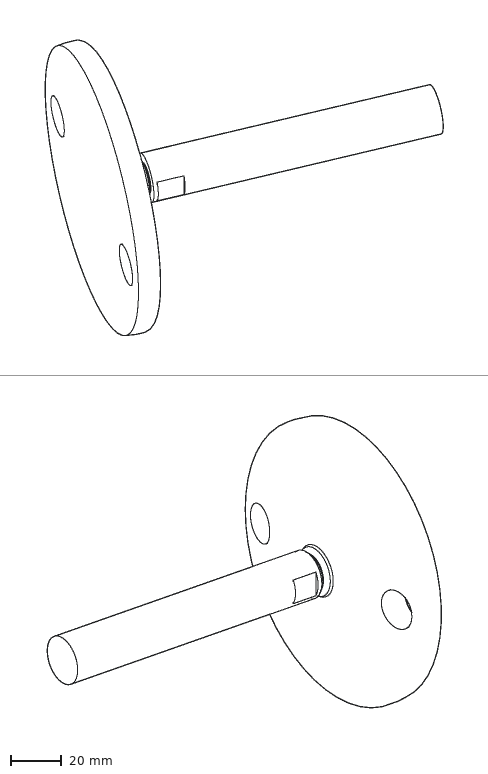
import cadquery as cq
import math

TOTAL_LENGTH = 142.0

FOOT_RADIUS = 117.98 / 2
SOLE_RADIUS = 58.5
DRAFT_HEIGHT = 4.0
RIM_TOP = 7.1
RIM_ROUNDING = 2.65
CONE_ANGLE = math.radians(9.5)

COLLAR_BASE_RADIUS = 10.8
COLLAR_SHOULDER_RADIUS = 10.2
COLLAR_SHOULDER_HEIGHT = 18.4
COLLAR_TOP_RADIUS = 8.0
COLLAR_TOP = 20.1

HOLE_DIAMETER = 16.5
HOLE_OFFSET = 42.8
HOLE_CUT_LENGTH = 60.0

SPINDLE_RADIUS = 20.0 / 2
SPINDLE_BOTTOM = 22.4
NECK_RADIUS = 6.2
NECK_BOTTOM = 22.0
LIP_RADIUS = 8.9
LIP_HEIGHT = 21.1

ACROSS_FLATS = 17.0
FLATS_BOTTOM = 24.2
FLATS_LENGTH = 11.1


def revolve_about_y(outline):
    return outline.close().revolve(360, (0, 0, 0), (0, 1, 0))


def make_foot_blank():
    """Drafted rim, rounded edge, conical top and collar."""
    arc_center_radius = FOOT_RADIUS - RIM_ROUNDING

    def rim_point(angle):
        return (
            arc_center_radius + RIM_ROUNDING * math.cos(angle),
            RIM_TOP + RIM_ROUNDING * math.sin(angle),
        )

    end_angle = math.pi / 2 - CONE_ANGLE
    cone_start = rim_point(end_angle)
    cone_rise = (cone_start[0] - COLLAR_BASE_RADIUS) * math.tan(CONE_ANGLE)
    outline = (
        cq.Workplane("XY")
        .moveTo(0, 0)
        .lineTo(SOLE_RADIUS, 0)
        .lineTo(FOOT_RADIUS, DRAFT_HEIGHT)
        .lineTo(FOOT_RADIUS, RIM_TOP)
        .threePointArc(rim_point(end_angle / 2), cone_start)
        .lineTo(COLLAR_BASE_RADIUS, cone_start[1] + cone_rise)
        .lineTo(COLLAR_SHOULDER_RADIUS, COLLAR_SHOULDER_HEIGHT)
        .lineTo(COLLAR_TOP_RADIUS, COLLAR_TOP)
        .lineTo(0, COLLAR_TOP)
    )
    return revolve_about_y(outline)


def make_hole_cutter(side):
    """Hole tool on the -X (side = -1) or +X (side = 1) half, leaning outward toward +Y."""
    direction = cq.Vector(side * math.sin(CONE_ANGLE), math.cos(CONE_ANGLE), 0)
    sole_point = cq.Vector(side * HOLE_OFFSET, 0, 0)
    start = sole_point - direction * (HOLE_CUT_LENGTH / 2)
    return cq.Solid.makeCylinder(HOLE_DIAMETER / 2, HOLE_CUT_LENGTH, start, direction)


def make_foot():
    foot = make_foot_blank()
    for side in (-1, 1):
        foot = foot.cut(cq.Workplane(make_hole_cutter(side)))
    return foot


def make_spindle_blank():
    """Shank with a narrow neck that flares into a lip above the collar."""
    outline = (
        cq.Workplane("XY")
        .moveTo(0, COLLAR_TOP)
        .lineTo(COLLAR_TOP_RADIUS, COLLAR_TOP)
        .lineTo(LIP_RADIUS, LIP_HEIGHT)
        .lineTo(NECK_RADIUS, NECK_BOTTOM)
        .lineTo(NECK_RADIUS, SPINDLE_BOTTOM)
        .lineTo(SPINDLE_RADIUS, SPINDLE_BOTTOM)
        .lineTo(SPINDLE_RADIUS, TOTAL_LENGTH)
        .lineTo(0, TOTAL_LENGTH)
    )
    return revolve_about_y(outline)


def make_spindle():
    spindle = make_spindle_blank()
    flats_center = FLATS_BOTTOM + FLATS_LENGTH / 2
    flat_depth = SPINDLE_RADIUS - ACROSS_FLATS / 2
    for side in (-1, 1):
        cutter = cq.Workplane("XY").box(2 * flat_depth, FLATS_LENGTH, 2 * SPINDLE_RADIUS)
        cutter_x = side * (ACROSS_FLATS / 2 + flat_depth)
        spindle = spindle.cut(cutter.translate((cutter_x, flats_center, 0)))
    return spindle


foot = make_foot()
spindle = make_spindle()

result = cq.Compound.makeCompound([foot.val(), spindle.val()])